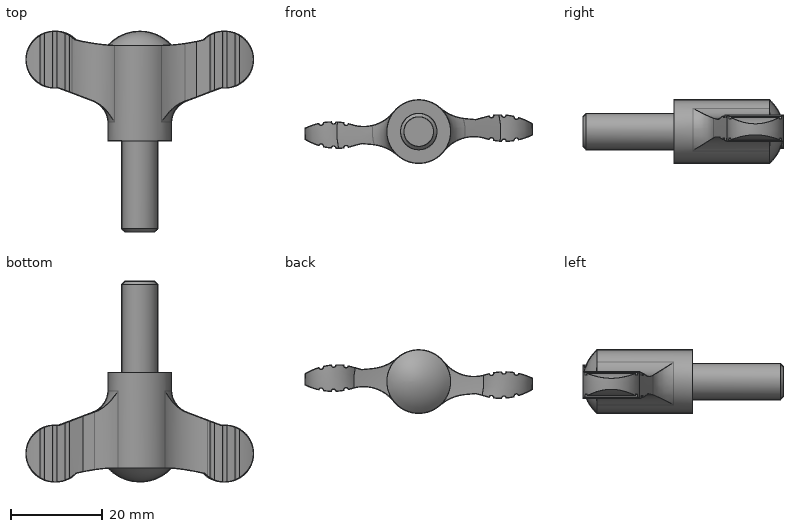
import cadquery as cq
import math

hub_radius = 7.0
hub_length = 21.0
dome_height = 3.1
stud_radius = 4.0
stud_length = 20.0
stud_chamfer = 0.75

half_span = 25.0
lobe_radius = 6.25
lobe_center_r = half_span - lobe_radius
lobe_center_y = hub_length + dome_height - lobe_radius
lower_joint_angle = 263.0
upper_joint_angle = 136.0
upper_edge_mid = (10.25, 21.4)
fillet_base_y = 4.15
fillet_end = (10.2, 8.7)
fillet_mid = (7.9, 6.85)

wing_root_x = 2.5
flare_top_x = 4.8
flare_bottom_x = 5.45
top_flare_mid = (7.15, 3.65)
top_flare_end = (9.9, 2.9)
top_waist_end = (12.5, 2.65)
top_pad_blend = (13.75, 2.95)
top_pad_start = (15.6, 3.5)
top_pad_mid = (19.0, 3.65)
tip_x = half_span + 0.5
tip_top_z = 1.35
tip_bottom_z = -0.45
bottom_pad_mid = (19.5, -2.15)
bottom_pad_start = (14.9, -1.6)
bottom_flare_mid = (9.5, -1.55)

groove_radius = 0.5
groove_pitch = 2.75
middle_groove_x = 18.7


def arc_through(start, middle, end):
    """Return center and radius of the circle through three points."""
    (ax, ay), (bx, by), (cx, cy) = start, middle, end
    d = 2 * (ax * (by - cy) + bx * (cy - ay) + cx * (ay - by))
    a2, b2, c2 = ax**2 + ay**2, bx**2 + by**2, cx**2 + cy**2
    x = (a2 * (by - cy) + b2 * (cy - ay) + c2 * (ay - by)) / d
    y = (a2 * (cx - bx) + b2 * (ax - cx) + c2 * (bx - ax)) / d
    return x, y, math.hypot(ax - x, ay - y)


def on_circle(radius, x):
    """Height of a circle about the origin at x."""
    return math.sqrt(radius**2 - x**2)


def lobe_point(angle):
    a = math.radians(angle)
    return lobe_center_r + lobe_radius * math.cos(a), lobe_center_y + lobe_radius * math.sin(a)


def make_hub_and_stud():
    sphere_radius = (hub_radius**2 + dome_height**2) / (2 * dome_height)
    dome_mid_x = hub_radius / 2
    dome_mid_y = hub_length + dome_height - sphere_radius + on_circle(sphere_radius, dome_mid_x)
    return (
        cq.Workplane("XY")
        .moveTo(0, -stud_length)
        .lineTo(stud_radius - stud_chamfer, -stud_length)
        .lineTo(stud_radius, -stud_length + stud_chamfer)
        .lineTo(stud_radius, 0)
        .lineTo(hub_radius, 0)
        .lineTo(hub_radius, hub_length)
        .threePointArc((dome_mid_x, dome_mid_y), (0, hub_length + dome_height))
        .close()
        .revolve(360, (0, 0, 0), (0, 1, 0))
    )


def make_wing_envelope():
    """Disc turned about Y whose section is the outline of one wing."""
    return (
        cq.Workplane("XY")
        .moveTo(0, fillet_base_y)
        .lineTo(hub_radius, fillet_base_y)
        .threePointArc(fillet_mid, fillet_end)
        .lineTo(*lobe_point(lower_joint_angle))
        .threePointArc(lobe_point(0), lobe_point(upper_joint_angle))
        .threePointArc(upper_edge_mid, (hub_radius, hub_length))
        .lineTo(0, hub_length)
        .close()
        .revolve(360, (0, 0, 0), (0, 1, 0))
        .rotate((0, 0, 0), (0, 1, 0), 90)
    )


def make_grooves(pad_start, pad_mid, pad_end, side):
    """Three round bars on a pad face; side is +1 for the top, -1 for the bottom."""
    cx, cz, radius = arc_through(pad_start, pad_mid, pad_end)
    xs = [middle_groove_x + i * groove_pitch for i in (-1, 0, 1)]
    points = [(x, cz + side * on_circle(radius, x - cx)) for x in xs]
    return cq.Workplane("XZ").pushPoints(points).circle(groove_radius).extrude(-half_span)


def make_wing():
    tip_top = (tip_x, tip_top_z)
    tip_bottom = (tip_x, tip_bottom_z)
    slab = (
        cq.Workplane("XZ")
        .moveTo(wing_root_x, on_circle(hub_radius, flare_top_x))
        .lineTo(flare_top_x, on_circle(hub_radius, flare_top_x))
        .threePointArc(top_flare_mid, top_flare_end)
        .lineTo(*top_waist_end)
        .threePointArc(top_pad_blend, top_pad_start)
        .threePointArc(top_pad_mid, tip_top)
        .lineTo(*tip_bottom)
        .threePointArc(bottom_pad_mid, bottom_pad_start)
        .threePointArc(bottom_flare_mid, (flare_bottom_x, -on_circle(hub_radius, flare_bottom_x)))
        .lineTo(wing_root_x, -on_circle(hub_radius, flare_bottom_x))
        .close()
        .extrude(-half_span)
    )
    top_grooves = make_grooves(top_pad_start, top_pad_mid, tip_top, 1)
    bottom_grooves = make_grooves(bottom_pad_start, bottom_pad_mid, tip_bottom, -1)
    return slab.cut(top_grooves).cut(bottom_grooves).intersect(make_wing_envelope())


right_wing = make_wing()
left_wing = right_wing.rotate((0, 0, 0), (0, 1, 0), 180)
result = make_hub_and_stud().union(right_wing).union(left_wing)